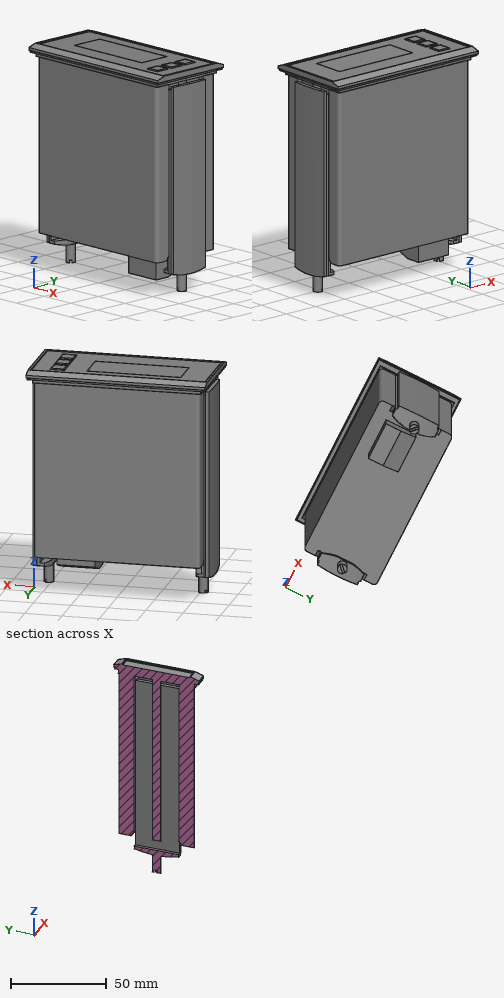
import cadquery as cq

total_height = 120.0

bezel_x, bezel_y = 96.0, 48.0
bezel_bottom = 115.9
bezel_lip_top = 116.9
bezel_lip_inset = 0.5
bezel_slope_run = 4.7
bezel_slope_drop = 1.5
panel_x, panel_y = 93.4, 37.7
panel_depth = 0.6

window_x, window_y = 50.2, 18.4
window_center = (-7.0, 2.8, 0)
window_depth = 0.1
key_size = 7.7
key_bevel = 0.5
key_x = 33.6
key_pitch = 10.0

collar_x, collar_y = 90.0, 43.2
housing_x, housing_y = 89.0, 42.2
housing_top = 113.8
housing_bottom = 19.0
housing_corner_radius = 2.0

clip_top = 112.5
clip_bottom = 10.1
clip_shoulder = 11.8
plate_half_width = 11.6
plate_edge_x = 47.2
plate_crown_x = 47.6
plate_inner_x = 45.2
web_top = 110.8
web_half_width = 12.5
web_bevel_x = 44.8
web_inner_x = 43.3
foot_top = 13.5
foot_edge_x = 40.8
foot_crown_x = 38.2
foot_nose_x = 38.5

screw_x = 41.4
screw_diameter = 5.0
slot_width = 1.2
slot_depth = 1.3
slot_angle = 45.0

groove_floor_x = screw_x
lead_in_width = 1.8
lead_in_height = 2.3

block_x_min, block_x_max = 15.8, 36.4
block_y_min, block_y_max = -13.8, 3.6
block_bottom = 7.1
block_slope_start_y = -5.2
block_slope_rise = 3.4


def slab(size_x, size_y, z_min, z_max):
    """Box centred on the Z axis between two heights."""
    return cq.Workplane("XY").workplane(offset=z_min).rect(size_x, size_y).extrude(z_max - z_min)


def make_bezel():
    half_y = bezel_y / 2
    shoulder_z = total_height - bezel_slope_drop
    profile = [
        (-half_y, bezel_lip_top),
        (half_y, bezel_lip_top),
        (half_y, shoulder_z),
        (half_y - bezel_slope_run, total_height),
        (-half_y + bezel_slope_run, total_height),
        (-half_y, shoulder_z),
    ]
    frame = cq.Workplane("YZ").polyline(profile).close().extrude(bezel_x / 2, both=True)
    lip = slab(bezel_x - 2 * bezel_lip_inset, bezel_y - 2 * bezel_lip_inset, bezel_bottom, bezel_lip_top)

    panel_z = total_height - panel_depth
    recess = slab(panel_x, panel_y, panel_z, total_height)
    window = slab(window_x, window_y, panel_z - window_depth, panel_z)
    bezel = frame.union(lip).cut(recess).cut(window.translate(window_center))

    key = slab(key_size, key_size, panel_z - window_depth, total_height)
    key = key.faces(">Z").chamfer(key_bevel)
    for row in (-1, 0, 1):
        bezel = bezel.union(key.translate((key_x, row * key_pitch, 0)))
    return bezel


def make_groove():
    """Clip groove in the -X end of the housing, flared at its lower mouth."""
    flare_half = web_half_width + lead_in_width
    outline = [
        (-flare_half, housing_bottom),
        (flare_half, housing_bottom),
        (web_half_width, housing_bottom + lead_in_height),
        (web_half_width, housing_top),
        (-web_half_width, housing_top),
        (-web_half_width, housing_bottom + lead_in_height),
    ]
    groove = cq.Workplane("YZ").workplane(offset=-housing_x / 2).polyline(outline).close()
    return groove.extrude(housing_x / 2 - groove_floor_x)


def make_housing():
    housing = slab(housing_x, housing_y, housing_bottom, housing_top)
    housing = housing.edges("|Z").fillet(housing_corner_radius)
    groove = make_groove()
    housing = housing.cut(groove).cut(groove.mirror("YZ"))
    return housing.union(slab(collar_x, collar_y, housing_top, bezel_bottom))


def make_clip():
    """Clip on the -X end: curved plate, bevelled web and rounded foot with an arched lower end."""
    plate = (
        cq.Workplane("XY").workplane(offset=clip_bottom)
        .moveTo(-plate_inner_x, -plate_half_width)
        .lineTo(-plate_edge_x, -plate_half_width)
        .threePointArc((-plate_crown_x, 0), (-plate_edge_x, plate_half_width))
        .lineTo(-plate_inner_x, plate_half_width)
        .close()
        .extrude(clip_top - clip_bottom)
    )
    web_outline = [
        (-web_inner_x, -web_half_width),
        (-web_bevel_x, -web_half_width),
        (-plate_inner_x, -plate_half_width),
        (-plate_inner_x, plate_half_width),
        (-web_bevel_x, web_half_width),
        (-web_inner_x, web_half_width),
    ]
    web = cq.Workplane("XY").workplane(offset=clip_bottom).polyline(web_outline).close()
    web = web.extrude(web_top - clip_bottom)
    foot = (
        cq.Workplane("XY").workplane(offset=clip_bottom)
        .moveTo(-web_inner_x, -web_half_width)
        .lineTo(-foot_edge_x, -web_half_width)
        .threePointArc((-foot_crown_x, 0), (-foot_edge_x, web_half_width))
        .lineTo(-web_inner_x, web_half_width)
        .close()
        .extrude(foot_top - clip_bottom)
    )
    arched_end = (
        cq.Workplane("YZ").workplane(offset=-foot_nose_x)
        .moveTo(-web_half_width, clip_top)
        .lineTo(-web_half_width, clip_shoulder)
        .threePointArc((0, clip_bottom), (web_half_width, clip_shoulder))
        .lineTo(web_half_width, clip_top)
        .close()
        .extrude(foot_nose_x - plate_crown_x)
    )
    return plate.union(web).union(foot).intersect(arched_end)


def make_screw():
    """Screw of the -X clip, ending flush in the foot and slotted diagonally across its tip."""
    screw = cq.Workplane("XY").circle(screw_diameter / 2).extrude(foot_top)
    slot = slab(2 * screw_diameter, slot_width, 0, slot_depth).rotate((0, 0, 0), (0, 0, 1), -slot_angle)
    return screw.cut(slot).translate((-screw_x, 0, 0))


def make_groove_rib():
    """Round rib standing half out of the groove floor at -X, which the clip web rests on."""
    rib = cq.Workplane("XY").workplane(offset=housing_bottom).circle(screw_diameter / 2)
    return rib.extrude(housing_top - housing_bottom).translate((-screw_x, 0, 0))


def make_terminal_block():
    """Block whose underside slopes up towards +Y."""
    profile = [
        (block_y_min, housing_bottom),
        (block_y_min, block_bottom),
        (block_slope_start_y, block_bottom),
        (block_y_max, block_bottom + block_slope_rise),
        (block_y_max, housing_bottom),
    ]
    block = cq.Workplane("YZ").workplane(offset=block_x_min).polyline(profile).close()
    return block.extrude(block_x_max - block_x_min)


mounting = make_clip().union(make_screw()).union(make_groove_rib())
result = (
    make_housing()
    .union(make_bezel())
    .union(make_terminal_block())
    .union(mounting)
    .union(mounting.mirror("YZ"))
)